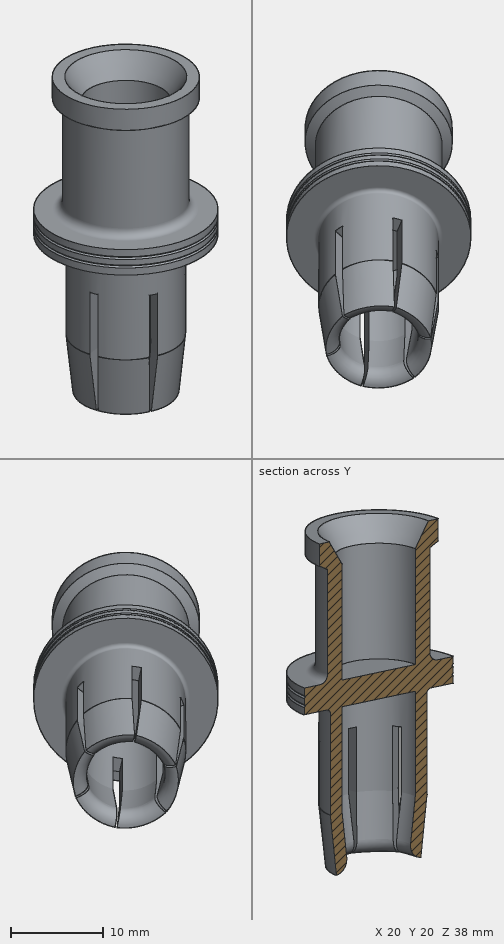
import cadquery as cq
import math

total_height = 38.0
rim_bottom_z = 35.45
neck_top_z = 34.9
flange_top_z = 22.05
flange_bottom_z = 18.95
slot_top_z = 14.5
bend_z = 7.0

rim_radius = 7.98
neck_radius = 6.88
flange_radius = 10.0
sleeve_radius = 6.5
bore_radius = 4.85
mouth_radius = 6.6

neck_fillet = 1.0
sleeve_fillet = 0.45
mouth_depth = 2.85
groove_width = 0.35
groove_depth = 0.17
groove_centers_z = (21.0, 20.0)
tip_fillet = 1.6
finger_count = 6
finger_pitch = 360 / finger_count
slot_width = 1.03
bend_angle = 6.7


def make_turned_body():
    """Revolve the outside of everything above the bend."""
    arc_middle = math.cos(math.radians(45))
    neck_corner = neck_radius + neck_fillet
    sleeve_corner = sleeve_radius + sleeve_fillet
    outline = (
        cq.Workplane("XZ")
        .moveTo(0, bend_z)
        .lineTo(sleeve_radius, bend_z)
        .lineTo(sleeve_radius, flange_bottom_z - sleeve_fillet)
        .threePointArc(
            (sleeve_corner - sleeve_fillet * arc_middle, flange_bottom_z - sleeve_fillet * (1 - arc_middle)),
            (sleeve_corner, flange_bottom_z),
        )
        .lineTo(flange_radius, flange_bottom_z)
        .lineTo(flange_radius, flange_top_z)
        .lineTo(neck_corner, flange_top_z)
        .threePointArc(
            (neck_corner - neck_fillet * arc_middle, flange_top_z + neck_fillet * (1 - arc_middle)),
            (neck_radius, flange_top_z + neck_fillet),
        )
        .lineTo(neck_radius, neck_top_z)
        .lineTo(rim_radius, rim_bottom_z)
        .lineTo(rim_radius, total_height)
        .lineTo(0, total_height)
        .close()
    )
    return outline.revolve(360, (0, 0, 0), (0, 1, 0))


def make_groove(center_z):
    """V-shaped ring cut into the rim of the flange."""
    half_width = groove_width / 2
    outline = cq.Workplane("XZ").polyline(
        [
            (flange_radius - groove_depth, center_z),
            (flange_radius, center_z - half_width),
            (flange_radius, center_z + half_width),
        ]
    )
    return outline.close().revolve(360, (0, 0, 0), (0, 1, 0))


def make_upper_bore():
    """Blind bore down to the flange, with a conical mouth."""
    outline = (
        cq.Workplane("XZ")
        .moveTo(0, flange_top_z)
        .lineTo(bore_radius, flange_top_z)
        .lineTo(bore_radius, total_height - mouth_depth)
        .lineTo(mouth_radius, total_height)
        .lineTo(0, total_height)
        .close()
    )
    return outline.revolve(360, (0, 0, 0), (0, 1, 0))


def make_slots(bottom_z, top_z):
    """Radial slots that divide the sleeve wall, one of them facing -Y."""
    slots = cq.Workplane("XY")
    for index in range(finger_count):
        slot = (
            cq.Workplane("XY")
            .box(flange_radius, slot_width, top_z - bottom_z, centered=(False, True, False))
            .translate((0, 0, bottom_z))
            .rotate((0, 0, 0), (0, 0, 1), -90 + index * finger_pitch)
        )
        slots = slots.add(slot)
    return slots.combine()


def make_finger_tip():
    """Lower end of the finger on +X, leaning in about the outer edge of the bend."""
    tip_length = bend_z / math.cos(math.radians(bend_angle))
    tip_bottom_z = bend_z - tip_length
    tube = cq.Workplane("XY").workplane(offset=tip_bottom_z).circle(sleeve_radius).circle(bore_radius)
    tube = tube.extrude(tip_length)
    tube = tube.faces("<Z").edges(cq.selectors.RadiusNthSelector(0)).fillet(tip_fillet)
    half_sector = math.radians(finger_pitch / 2)
    reach = 2 * sleeve_radius
    side = reach * math.tan(half_sector)
    sector = (
        cq.Workplane("XY")
        .workplane(offset=tip_bottom_z)
        .polyline([(0, 0), (reach, -side), (reach, side)])
        .close()
        .extrude(tip_length)
    )
    blank = tube.intersect(sector).cut(make_slots(tip_bottom_z, bend_z))
    return blank.rotate((sleeve_radius, 0, bend_z), (sleeve_radius, 1, bend_z), bend_angle)


def make_lower_bore():
    """Socket bore between the fingers, ending level with the underside of the flange."""
    return cq.Workplane("XY").workplane(offset=bend_z).circle(bore_radius).extrude(flange_bottom_z - bend_z)


result = make_turned_body()
for groove_center_z in groove_centers_z:
    result = result.cut(make_groove(groove_center_z))
result = result.cut(make_upper_bore())
result = result.cut(make_lower_bore())
result = result.cut(make_slots(bend_z, slot_top_z))

finger_tip = make_finger_tip()
for finger_index in range(finger_count):
    result = result.union(finger_tip.rotate((0, 0, 0), (0, 0, 1), finger_index * finger_pitch))